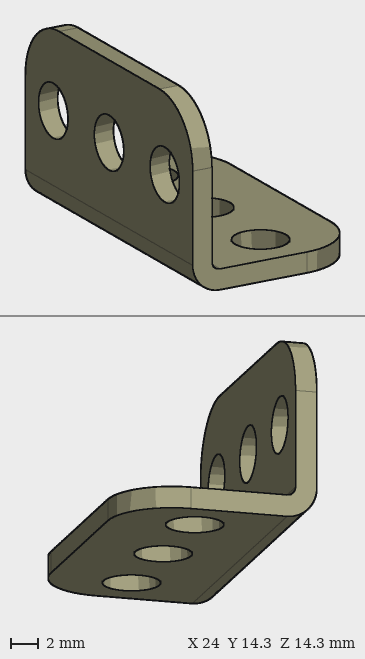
import cadquery as cq

length = 24.0
flange = 14.3
thickness = 1.6
inner_bend_radius = 0.67
corner_radius = 4.8
hole_diameter = 4.2
hole_pitch = 8.0
hole_count = 3

outer_bend_radius = inner_bend_radius + thickness


def leg_plate():
    """Flat leg with rounded free corners and a row of holes, lying on Z = 0 from Y = 0."""
    plate = cq.Workplane("XY").box(length, flange, thickness, centered=(True, False, False))
    plate = plate.edges("|Z and >Y").fillet(corner_radius)
    holes = (
        cq.Workplane("XY")
        .center(0, hole_pitch)
        .rarray(hole_pitch, 0.25, hole_count, 1)
        .circle(hole_diameter / 2)
        .extrude(thickness)
    )
    return plate.cut(holes)


base_leg = leg_plate()
upright_leg = base_leg.rotate((0, 0, 0), (1, 0, 0), 90).mirror("XZ")
bracket = base_leg.union(upright_leg)

bracket = bracket.edges(cq.selectors.NearestToPointSelector((0, 0, 0))).fillet(outer_bend_radius)
inner_edge_point = (0, thickness, thickness)
result = bracket.edges(cq.selectors.NearestToPointSelector(inner_edge_point)).fillet(inner_bend_radius)